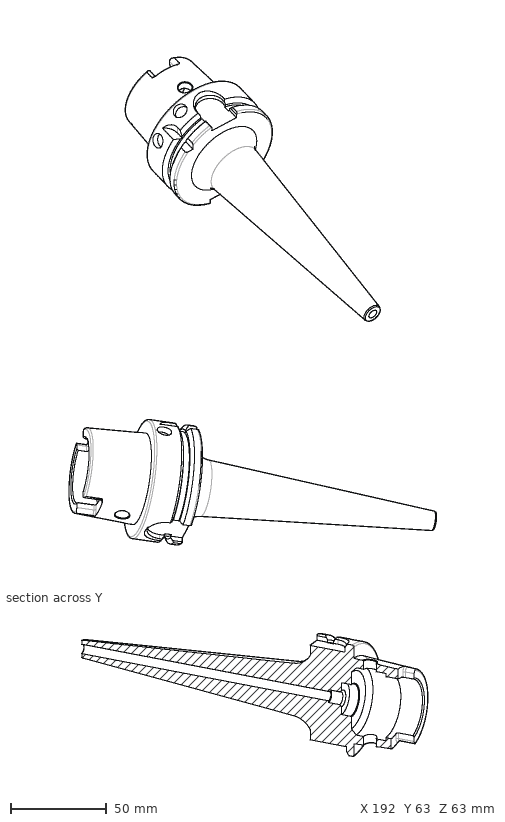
import cadquery as cq
import math

TOTAL_LENGTH = 192.0
OVERCUT = 9.6

SHANK_LENGTH = 32.0
SHANK_FRONT_RADIUS = 22.7
SHANK_REAR_RADIUS = 24.2
SHANK_RIM_ROUND = 1.0

FLANGE_RADIUS = 31.5
FLANGE_END = 58.0
FLANGE_ROUND = 1.0
GROOVE_CENTER = 50.0
GROOVE_RADIUS = 27.6
GROOVE_FLARE_RADIUS = 29.0
GROOVE_HALF_WIDTH_TOP = 3.5
GROOVE_HALF_WIDTH_FLOOR = 1.7

NECK_ARC_RADIUS = 12.0
NOSE_START = 67.4
NOSE_BASE_RADIUS = 15.0
NOSE_TIP_RADIUS = 5.2
TIP_CHAMFER_LENGTH = 0.8
TIP_CHAMFER_DEPTH = 0.4

MOUTH_RADIUS = 17.9
MOUTH_CHAMFER = 0.8
LIP_END = 13.5
UNDERCUT_RADIUS = 18.8
CAVITY_FLOOR = 33.6
CAVITY_FLOOR_RADIUS = 16.0
CAVITY_REAR_CONE = 2.9
COUNTERBORE_RADIUS = 8.8
COUNTERBORE_DEPTH = 5.8
COUNTERBORE_CHAMFER = 0.4
COUNTERSINK_RADIUS = 4.6
SCREW_HOLE_RADIUS = 3.5
SCREW_HOLE_DEPTH = 7.7
COOLANT_RADIUS = 2.5

DRIVE_SLOT_HALF_WIDTH = 6.1
DRIVE_SLOT_EDGE_RADIUS = 2.0
DRIVE_SLOT_FLOOR_RADIUS = 1.0
UPPER_DRIVE_SLOT_DEPTH = 6.1
LOWER_DRIVE_SLOT_DEPTH = 10.2

CROSS_HOLE_X = 22.8
CROSS_HOLE_RADIUS = 3.6
CROSS_HOLE_CHAMFER = 0.4

KEYWAY_FLOOR_HEIGHT = 26.7
KEYWAY_END_CENTER = 45.5
KEYWAY_FLARE_HEIGHT = 29.2
KEYWAY_FLARE_ANGLE = 32.0
UPPER_KEYWAY_HALF_WIDTH = 7.9
LOWER_KEYWAY_HALF_WIDTH = 8.8

RADIAL_HOLE_X = 38.0
RADIAL_HOLE_RADIUS = 3.8
RADIAL_HOLE_DEPTH = 3.5
RADIAL_HOLE_ANGLES = (26.0, 63.5)
NOTCH_OFFSET = 20.0
NOTCH_FLAT_START = 44.0
NOTCH_END_RADIUS = 8.3


def revolve_about_axis(profile):
    """Turn a closed (x, radius) outline about the X axis."""
    return profile.close().revolve(360, (0, 0, 0), (1, 0, 0))


def turned_body():
    nose_angle = math.atan((NOSE_BASE_RADIUS - NOSE_TIP_RADIUS) / (TOTAL_LENGTH - NOSE_START))
    arc_x = NOSE_START + NECK_ARC_RADIUS * math.sin(nose_angle)
    arc_r = NOSE_BASE_RADIUS + NECK_ARC_RADIUS * math.cos(nose_angle)
    neck_root_radius = arc_r - math.sqrt(NECK_ARC_RADIUS**2 - (arc_x - FLANGE_END) ** 2)
    start_angle = math.atan2(neck_root_radius - arc_r, FLANGE_END - arc_x)
    mid_angle = (start_angle - math.pi / 2 - nose_angle) / 2
    neck_middle = (
        arc_x + NECK_ARC_RADIUS * math.cos(mid_angle),
        arc_r + NECK_ARC_RADIUS * math.sin(mid_angle),
    )
    profile = (
        cq.Workplane("XY")
        .lineTo(0, SHANK_FRONT_RADIUS - SHANK_RIM_ROUND)
        .radiusArc((SHANK_RIM_ROUND, SHANK_FRONT_RADIUS), SHANK_RIM_ROUND)
        .lineTo(SHANK_LENGTH, SHANK_REAR_RADIUS)
        .lineTo(SHANK_LENGTH, FLANGE_RADIUS - FLANGE_ROUND)
        .radiusArc((SHANK_LENGTH + FLANGE_ROUND, FLANGE_RADIUS), FLANGE_ROUND)
        .lineTo(GROOVE_CENTER - GROOVE_HALF_WIDTH_TOP, FLANGE_RADIUS)
        .lineTo(GROOVE_CENTER - GROOVE_HALF_WIDTH_FLOOR, GROOVE_FLARE_RADIUS)
        .lineTo(GROOVE_CENTER - GROOVE_HALF_WIDTH_FLOOR, GROOVE_RADIUS)
        .lineTo(GROOVE_CENTER + GROOVE_HALF_WIDTH_FLOOR, GROOVE_RADIUS)
        .lineTo(GROOVE_CENTER + GROOVE_HALF_WIDTH_FLOOR, GROOVE_FLARE_RADIUS)
        .lineTo(GROOVE_CENTER + GROOVE_HALF_WIDTH_TOP, FLANGE_RADIUS)
        .lineTo(FLANGE_END - FLANGE_ROUND, FLANGE_RADIUS)
        .radiusArc((FLANGE_END, FLANGE_RADIUS - FLANGE_ROUND), FLANGE_ROUND)
        .lineTo(FLANGE_END, neck_root_radius)
        .threePointArc(neck_middle, (NOSE_START, NOSE_BASE_RADIUS))
        .lineTo(TOTAL_LENGTH - TIP_CHAMFER_LENGTH, NOSE_TIP_RADIUS)
        .lineTo(TOTAL_LENGTH, NOSE_TIP_RADIUS - TIP_CHAMFER_DEPTH)
        .lineTo(TOTAL_LENGTH, 0)
    )
    return revolve_about_axis(profile)


def cavity():
    """Shank bore with a clamping undercut, a counterbore and the through coolant bore."""
    bore_radius = MOUTH_RADIUS - MOUTH_CHAMFER
    counterbore_floor = CAVITY_FLOOR + COUNTERBORE_DEPTH
    countersink_end = counterbore_floor + COUNTERSINK_RADIUS - SCREW_HOLE_RADIUS
    screw_hole_floor = counterbore_floor + SCREW_HOLE_DEPTH
    profile = (
        cq.Workplane("XY")
        .lineTo(0, MOUTH_RADIUS)
        .lineTo(MOUTH_CHAMFER, bore_radius)
        .lineTo(LIP_END, bore_radius)
        .lineTo(LIP_END, UNDERCUT_RADIUS)
        .lineTo(CAVITY_FLOOR - CAVITY_REAR_CONE, UNDERCUT_RADIUS)
        .lineTo(CAVITY_FLOOR, CAVITY_FLOOR_RADIUS)
        .lineTo(CAVITY_FLOOR, COUNTERBORE_RADIUS + COUNTERBORE_CHAMFER)
        .lineTo(CAVITY_FLOOR + COUNTERBORE_CHAMFER, COUNTERBORE_RADIUS)
        .lineTo(counterbore_floor, COUNTERBORE_RADIUS)
        .lineTo(counterbore_floor, COUNTERSINK_RADIUS)
        .lineTo(countersink_end, SCREW_HOLE_RADIUS)
        .lineTo(screw_hole_floor, SCREW_HOLE_RADIUS)
        .lineTo(screw_hole_floor, COOLANT_RADIUS)
        .lineTo(TOTAL_LENGTH, COOLANT_RADIUS)
        .lineTo(TOTAL_LENGTH, 0)
    )
    return revolve_about_axis(profile)


def drive_slot(depth):
    """Slot cutter on the +Z side, its walls rounding over into the shank surface."""
    half = DRIVE_SLOT_HALF_WIDTH
    edge = DRIVE_SLOT_EDGE_RADIUS
    arc_y = half + edge
    arc_z = math.sqrt((SHANK_FRONT_RADIUS - edge) ** 2 - arc_y**2)
    tangent_angle = math.atan2(arc_z, arc_y)
    mid_angle = (math.pi + tangent_angle) / 2
    middle = (arc_y + edge * math.cos(mid_angle), arc_z + edge * math.sin(mid_angle))
    end = (arc_y + edge * math.cos(tangent_angle), arc_z + edge * math.sin(tangent_angle))
    top = SHANK_REAR_RADIUS + OVERCUT
    return (
        cq.Workplane("YZ")
        .moveTo(-half, 0)
        .lineTo(half, 0)
        .lineTo(half, arc_z)
        .threePointArc(middle, end)
        .lineTo(end[0], top)
        .lineTo(-end[0], top)
        .lineTo(-end[0], end[1])
        .threePointArc((-middle[0], middle[1]), (-half, arc_z))
        .close()
        .extrude(depth)
        .faces(">X")
        .edges("not(<Z or >Z)")
        .fillet(DRIVE_SLOT_FLOOR_RADIUS)
    )


def keyway_outline(half_width, height):
    """Plan outline of a keyway at the given height: round toward -X, open toward +X."""
    open_end = FLANGE_END + OVERCUT
    return (
        cq.Workplane("XY")
        .workplane(offset=height)
        .moveTo(open_end, -half_width)
        .lineTo(KEYWAY_END_CENTER, -half_width)
        .threePointArc((KEYWAY_END_CENTER - half_width, 0), (KEYWAY_END_CENTER, half_width))
        .lineTo(open_end, half_width)
        .close()
    )


def keyway(half_width):
    """Keyway cutter on the +Z side."""
    walls = keyway_outline(half_width, KEYWAY_FLOOR_HEIGHT).extrude(OVERCUT)
    flare = keyway_outline(half_width, KEYWAY_FLARE_HEIGHT).extrude(OVERCUT, taper=-KEYWAY_FLARE_ANGLE)
    return walls.union(flare)


def with_cross_hole(body):
    """Drill the solid shank right through along Z and chamfer both rims."""
    reach = CROSS_HOLE_RADIUS + CROSS_HOLE_CHAMFER
    rim_region = cq.selectors.BoxSelector(
        (CROSS_HOLE_X - reach, -reach, -SHANK_REAR_RADIUS),
        (CROSS_HOLE_X + reach, reach, SHANK_REAR_RADIUS),
        boundingbox=True,
    )
    drill = (
        cq.Workplane("XY")
        .center(CROSS_HOLE_X, 0)
        .circle(CROSS_HOLE_RADIUS)
        .extrude(SHANK_REAR_RADIUS + OVERCUT, both=True)
    )
    rims = body.cut(drill).edges(rim_region).edges("not(|Z)")
    return rims.chamfer(CROSS_HOLE_CHAMFER)


def radial_hole(angle):
    return (
        cq.Workplane("XY")
        .workplane(offset=FLANGE_RADIUS - RADIAL_HOLE_DEPTH)
        .center(RADIAL_HOLE_X, 0)
        .circle(RADIAL_HOLE_RADIUS)
        .extrude(RADIAL_HOLE_DEPTH + OVERCUT)
        .rotate((0, 0, 0), (1, 0, 0), 90 - angle)
    )


def orientation_notch():
    """Corner cut with a level floor, an upright wall and a round closed end."""
    outer_y = -NOTCH_OFFSET - 2 * NOTCH_END_RADIUS
    return (
        cq.Workplane("XY")
        .workplane(offset=NOTCH_OFFSET)
        .moveTo(FLANGE_END + OVERCUT, -NOTCH_OFFSET)
        .lineTo(NOTCH_FLAT_START, -NOTCH_OFFSET)
        .threePointArc(
            (NOTCH_FLAT_START - NOTCH_END_RADIUS, -NOTCH_OFFSET - NOTCH_END_RADIUS),
            (NOTCH_FLAT_START, outer_y),
        )
        .lineTo(FLANGE_END + OVERCUT, outer_y)
        .close()
        .extrude(FLANGE_RADIUS)
    )


def turned_to_bottom(cutter):
    return cutter.rotate((0, 0, 0), (1, 0, 0), 180)


result = (
    with_cross_hole(turned_body())
    .cut(cavity())
    .cut(drive_slot(UPPER_DRIVE_SLOT_DEPTH))
    .cut(turned_to_bottom(drive_slot(LOWER_DRIVE_SLOT_DEPTH)))
    .cut(keyway(UPPER_KEYWAY_HALF_WIDTH))
    .cut(turned_to_bottom(keyway(LOWER_KEYWAY_HALF_WIDTH)))
    .cut(orientation_notch())
)
for hole_angle in RADIAL_HOLE_ANGLES:
    result = result.cut(radial_hole(hole_angle))